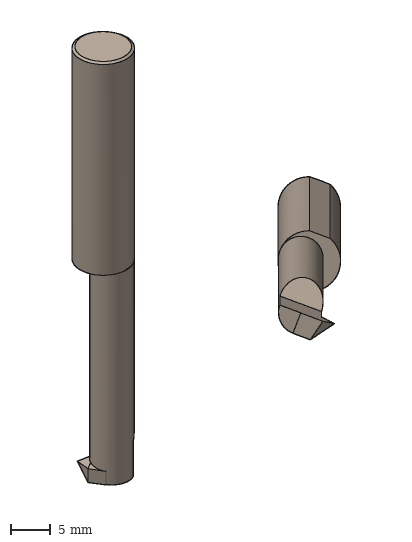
import cadquery as cq

total_length = 63.5
shank_diameter = 7.95
shank_radius = shank_diameter / 2
shoulder_z = 31.9
flat_depth = 0.25
chamfer_radial = 0.4
chamfer_height = 0.22

neck_diameter = 5.65
neck_radius = neck_diameter / 2
neck_x = shank_radius - neck_radius
neck_bottom_z = 0.1
relief_bottom_z = 5.4

tip_x = -3.4
tip_z = 1.15
heel_x = -1.85
front_corner_x = -1.2
rake_top_z = 2.55
front_top_z = 2.1
bottom_rise = 0.05


def make_shank():
    shank = (
        cq.Workplane("XY")
        .workplane(offset=shoulder_z)
        .circle(shank_radius)
        .extrude(total_length - shoulder_z)
        .faces(">Z")
        .chamfer(chamfer_height, chamfer_radial)
    )
    flat = (
        cq.Workplane("XY")
        .box(shank_diameter, shank_radius, total_length, centered=(True, False, False))
        .translate((0, shank_radius - flat_depth, 0))
    )
    return shank.cut(flat)


def make_neck():
    neck = (
        cq.Workplane("XY")
        .workplane(offset=neck_bottom_z)
        .center(neck_x, 0)
        .circle(neck_radius)
        .extrude(shoulder_z - neck_bottom_z)
    )
    relief = (
        cq.Workplane("YZ")
        .polyline([
            (0, 0),
            (shank_radius, 0),
            (shank_radius, relief_bottom_z + shank_radius),
            (0, relief_bottom_z),
        ])
        .close()
        .extrude(shank_radius + neck_radius, both=True)
    )
    return neck.cut(relief)


def make_tooth():
    front_y = -neck_radius
    corner_rise = bottom_rise * (front_corner_x - heel_x) / (neck_x - heel_x)

    tip = (tip_x, 0, tip_z)
    rake_top = (front_corner_x, 0, rake_top_z)
    rake_back_top = (neck_x, 0, rake_top_z)
    rake_back_bottom = (neck_x, 0, bottom_rise)
    heel = (heel_x, 0, 0)

    front_top = (front_corner_x, front_y, front_top_z)
    front_back_top = (neck_x, front_y, front_top_z)
    front_back_bottom = (neck_x, front_y, bottom_rise)
    front_bottom = (front_corner_x, front_y, corner_rise)

    outlines = [
        [tip, rake_top, rake_back_top, rake_back_bottom, heel],
        [front_top, front_back_top, front_back_bottom, front_bottom],
        [rake_top, rake_back_top, front_back_top, front_top],
        [heel, rake_back_bottom, front_back_bottom, front_bottom],
        [rake_back_top, rake_back_bottom, front_back_bottom, front_back_top],
        [tip, rake_top, front_top],
        [tip, front_top, front_bottom],
        [tip, front_bottom, heel],
    ]
    faces = []
    for outline in outlines:
        points = [cq.Vector(*corner) for corner in outline]
        wire = cq.Wire.makePolygon(points, close=True)
        faces.append(cq.Face.makeFromWires(wire))
    return cq.Workplane(obj=cq.Solid.makeSolid(cq.Shell.makeShell(faces)))


result = make_shank().union(make_neck()).union(make_tooth())